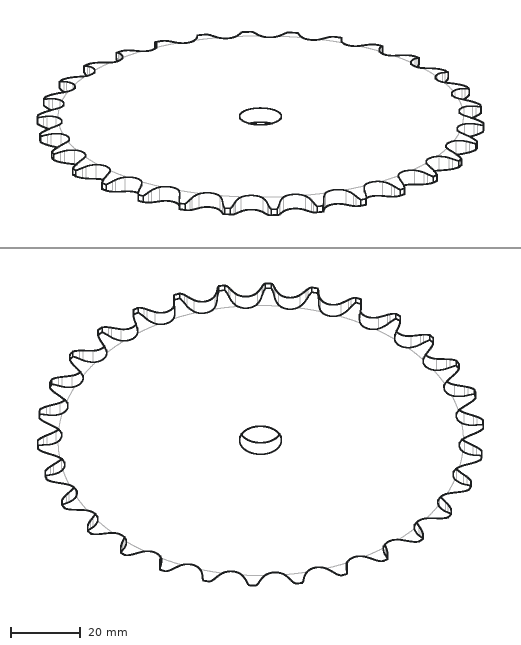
import cadquery as cq
import math

tooth_count = 30
outer_radius = 63.8
pitch_diameter = 121.5
roller_diameter = 7.8
roller_clearance = 0.04
thickness = 4.5
bore_diameter = 12.0
crown_start_radius = 57.9
crown_arc_radius = 14.0

tooth_step = 360.0 / tooth_count
half_thickness = thickness / 2
pitch_radius = pitch_diameter / 2

seat_angle = 35 + 60 / tooth_count
hollow_sweep = 18 - 56 / tooth_count
pressure_angle = 17 - 64 / tooth_count
root_lean = 90.0
seat_end_lean = seat_angle
straight_lean = seat_angle - hollow_sweep
top_sweep = 25.0
mouth_lean = straight_lean + top_sweep

seat_radius_ratio = 0.5025
hollow_offset_ratio = 0.8
top_offset_ratio = 1.4
seat_radius = seat_radius_ratio * roller_diameter + roller_clearance
hollow_radius = seat_radius + hollow_offset_ratio * roller_diameter
straight_length = roller_diameter * (
    top_offset_ratio * math.sin(math.radians(pressure_angle))
    - hollow_offset_ratio * math.sin(math.radians(hollow_sweep))
)
top_radius = roller_diameter * (
    top_offset_ratio * math.cos(math.radians(pressure_angle))
    + hollow_offset_ratio * math.cos(math.radians(hollow_sweep))
) - hollow_radius


def arc_point(start, radius, start_lean, end_lean):
    """Point reached from start along an arc whose lean changes from start_lean to end_lean."""
    first = math.radians(start_lean)
    last = math.radians(end_lean)
    outward = radius * abs(math.sin(last) - math.sin(first))
    sideways = radius * abs(math.cos(last) - math.cos(first))
    return (start[0] + outward, start[1] + sideways)


def arc_to(start, radius, start_lean, end_lean):
    """Middle point and end point of a flank arc."""
    middle = arc_point(start, radius, start_lean, (start_lean + end_lean) / 2)
    end = arc_point(start, radius, start_lean, end_lean)
    return middle, end


def mirrored(point):
    """The matching point on the opposite flank of the gap."""
    return (point[0], -point[1])


def gap_cutter():
    """Cutter for one tooth gap, centred on the +X axis."""
    root = (pitch_radius - seat_radius, 0)
    seat_end = arc_point(root, seat_radius, root_lean, seat_end_lean)
    hollow_middle, hollow_end = arc_to(seat_end, hollow_radius, seat_end_lean, straight_lean)
    straight_end = (
        hollow_end[0] + straight_length * math.cos(math.radians(straight_lean)),
        hollow_end[1] + straight_length * math.sin(math.radians(straight_lean)),
    )
    top_middle, mouth = arc_to(straight_end, top_radius, straight_lean, mouth_lean)
    return (
        cq.Workplane("XY")
        .moveTo(*mirrored(mouth))
        .threePointArc(mirrored(top_middle), mirrored(straight_end))
        .lineTo(*mirrored(hollow_end))
        .threePointArc(mirrored(hollow_middle), mirrored(seat_end))
        .threePointArc(root, seat_end)
        .threePointArc(hollow_middle, hollow_end)
        .lineTo(*straight_end)
        .threePointArc(top_middle, mouth)
        .close()
        .extrude(half_thickness, both=True)
    )


def crown_half_height(radius):
    """Half thickness of the rim where an arc tangent to the flat face thins it."""
    run = radius - crown_start_radius
    drop = crown_arc_radius - math.sqrt(crown_arc_radius**2 - run**2)
    return half_thickness - drop


def crowned_disc():
    """Round blank with a bore and a rim thinned on both sides."""
    bore_radius = bore_diameter / 2
    middle_radius = (crown_start_radius + outer_radius) / 2
    middle_height = crown_half_height(middle_radius)
    tip_height = crown_half_height(outer_radius)
    return (
        cq.Workplane("XZ")
        .moveTo(bore_radius, -half_thickness)
        .lineTo(crown_start_radius, -half_thickness)
        .threePointArc((middle_radius, -middle_height), (outer_radius, -tip_height))
        .lineTo(outer_radius, tip_height)
        .threePointArc((middle_radius, middle_height), (crown_start_radius, half_thickness))
        .lineTo(bore_radius, half_thickness)
        .close()
        .revolve(360, (0, 0, 0), (0, 1, 0))
    )


result = crowned_disc()
cutter = gap_cutter()
for index in range(tooth_count):
    gap_angle = (index + 0.5) * tooth_step
    result = result.cut(cutter.rotate((0, 0, 0), (0, 0, 1), gap_angle))